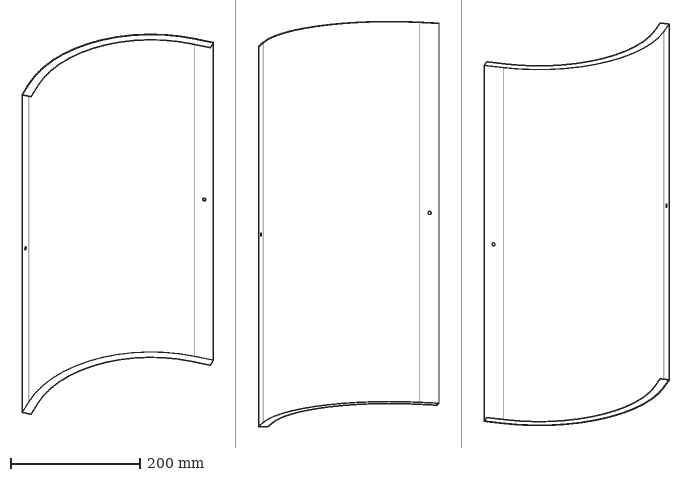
import cadquery as cq
import math

height = 602.0
inner_bend_radius = 200.0
tangent_length = 31.0
sheet_thickness = 0.8
flange_width = 14.8
hole_diameter = 5.0
hole_edge_distance = 15.0

bend_radius = inner_bend_radius + sheet_thickness
outer_width = bend_radius + tangent_length
hole_height = height / 2


def arc_middle(radius):
    """Midpoint of the quarter arc of the given radius about the bend centre."""
    offset = radius * math.sqrt(0.5)
    return (bend_radius - offset, tangent_length + offset)


def quarter_band(band_width, band_height):
    """Quarter-circle band with straight ends, its width going inward from the outer surface."""
    inner_y = outer_width - band_width
    return (
        cq.Workplane("XY")
        .moveTo(0, 0)
        .lineTo(0, tangent_length)
        .threePointArc(arc_middle(bend_radius), (bend_radius, outer_width))
        .lineTo(outer_width, outer_width)
        .lineTo(outer_width, inner_y)
        .lineTo(bend_radius, inner_y)
        .threePointArc(arc_middle(bend_radius - band_width), (band_width, tangent_length))
        .lineTo(band_width, 0)
        .close()
        .extrude(band_height)
    )


def hole_cutter(start, direction):
    """Cylinder that passes through the sheet from a point on its outer surface."""
    cylinder = cq.Solid.makeCylinder(
        hole_diameter / 2, sheet_thickness, cq.Vector(*start), cq.Vector(*direction)
    )
    return cq.Workplane(cylinder)


result = quarter_band(sheet_thickness, height)
flange = quarter_band(flange_width, sheet_thickness)
for flange_base in (0, height - sheet_thickness):
    result = result.union(flange.translate((0, 0, flange_base)))

first_hole = hole_cutter((0, hole_edge_distance, hole_height), (1, 0, 0))
second_hole = hole_cutter((outer_width - hole_edge_distance, outer_width, hole_height), (0, -1, 0))
result = result.cut(first_hole).cut(second_hole)